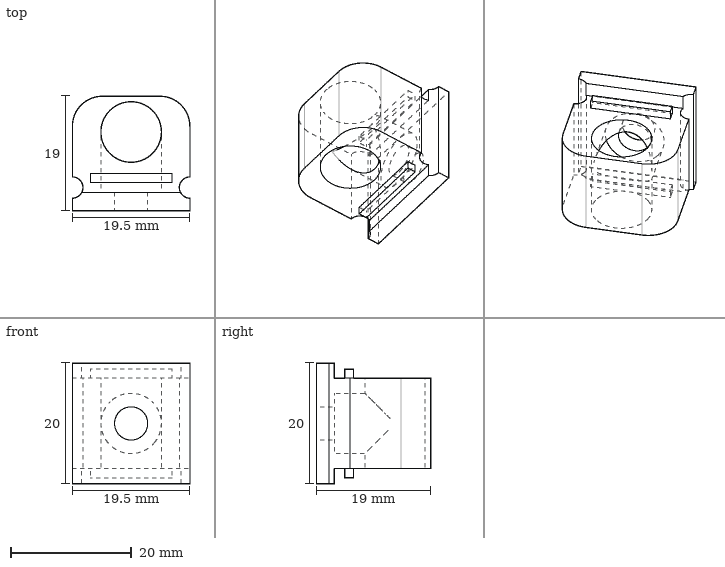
import cadquery as cq

width = 19.5
plate_height = 20.0
plate_thickness = 3.0

depth = 19.0
body_height = 15.0
back_corner_radius = 5.0

rib_length = 13.5
rib_height = 1.5
rib_thickness = 1.5
rib_gap = 1.7

groove_radius = 1.75
groove_y = plate_thickness + rib_gap / 2

main_bore_diameter = 10.0
main_bore_y = 13.05
front_hole_diameter = 5.5
screw_head_diameter = 10.0


def block(size_x, y_front, size_y, size_z):
    """Box centred on X and Z whose front face lies at y_front."""
    return cq.Workplane("XY").box(size_x, size_y, size_z).translate((0, y_front + size_y / 2, 0))


def upright_cylinder(x, y, radius):
    """Vertical cutter as tall as the plate."""
    return cq.Workplane("XY").center(x, y).circle(radius).extrude(plate_height / 2, both=True)


def front_cylinder(y_start, radius):
    """Cutter along Y from y_start to the axis of the main bore."""
    return cq.Workplane("XZ", origin=(0, y_start, 0)).circle(radius).extrude(y_start - main_bore_y)


def make_body():
    body = block(width, 0, depth, body_height)
    return body.edges("|Z and >Y").fillet(back_corner_radius)


def make_plate():
    return block(width, 0, plate_thickness, plate_height)


def make_ribs():
    """One bar through the body; its two ends stand out as the ribs."""
    return block(rib_length, plate_thickness + rib_gap, rib_thickness, body_height + 2 * rib_height)


def cut_side_grooves(part):
    for side in (-1, 1):
        part = part.cut(upright_cylinder(side * width / 2, groove_y, groove_radius))
    return part


def cut_bores(part):
    """Vertical main bore, and a front hole that widens behind the plate and opens into it."""
    part = part.cut(upright_cylinder(0, main_bore_y, main_bore_diameter / 2))
    front_hole = front_cylinder(0, front_hole_diameter / 2)
    screw_head_bore = front_cylinder(plate_thickness, screw_head_diameter / 2)
    return part.cut(front_hole).cut(screw_head_bore)


result = make_body().union(make_plate()).union(make_ribs())
result = cut_side_grooves(result)
result = cut_bores(result)